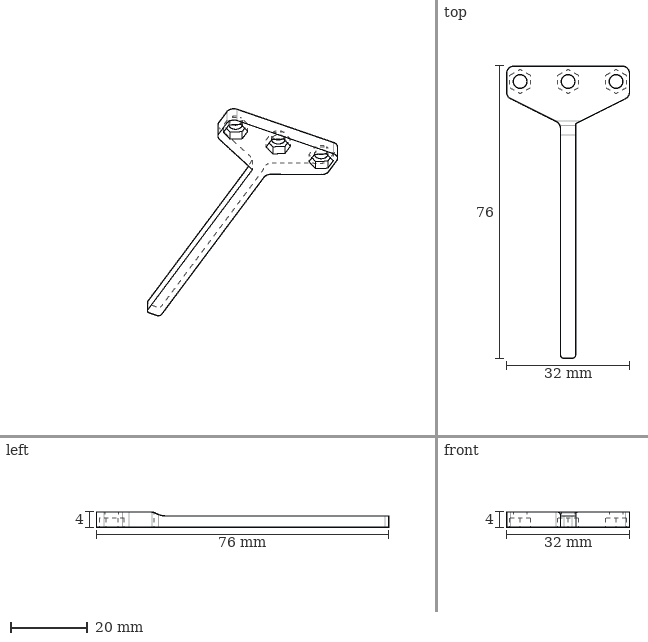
import cadquery as cq
import math

total_length = 76.0
plate_width = 32.0
plate_thickness = 4.0
arm_width = 4.0
arm_thickness = 3.05

plate_side_length = 8.0
taper_slope = 0.5
corner_radius = 2.0
arm_tip_radius = 1.0

hole_diameter = 3.5
hole_spacing = 12.5
hole_edge_distance = 4.0
hole_centers = [(i * hole_spacing, -hole_edge_distance) for i in (-1, 0, 1)]

nut_width_across_flats = 5.5
nut_pocket_depth = 2.5

step_start = 14.3
step_crest_radius = 2.3
step_root_radius = 5.0

half_plate = plate_width / 2
half_arm = arm_width / 2
arm_root_y = -(plate_side_length + taper_slope * (half_plate - half_arm))


def make_body():
    """Full-thickness plate and arm, with rounded vertical edges."""
    outline = [
        (-half_plate, 0),
        (half_plate, 0),
        (half_plate, -plate_side_length),
        (half_arm, arm_root_y),
        (half_arm, -total_length),
        (-half_arm, -total_length),
        (-half_arm, arm_root_y),
        (-half_plate, -plate_side_length),
    ]
    body = cq.Workplane("XY").polyline(outline).close().extrude(plate_thickness)
    rounded_corners = [
        (-half_plate, 0, corner_radius),
        (half_plate, 0, corner_radius),
        (-half_plate, -plate_side_length, corner_radius),
        (half_plate, -plate_side_length, corner_radius),
        (-half_arm, arm_root_y, corner_radius),
        (-half_arm, -total_length, arm_tip_radius),
        (half_arm, -total_length, arm_tip_radius),
    ]
    for x, y, radius in rounded_corners:
        corner = cq.selectors.NearestToPointSelector((x, y, plate_thickness / 2))
        body = body.edges("|Z").edges(corner).fillet(radius)
    return body


def make_step_cutter():
    """Material above the arm, bounded by a convex and a concave tangent arc."""
    drop = plate_thickness - arm_thickness
    sweep = math.acos(1 - drop / (step_crest_radius + step_root_radius))
    step_end = step_start + (step_crest_radius + step_root_radius) * math.sin(sweep)

    def crest_point(angle):
        return (
            -step_start - step_crest_radius * math.sin(angle),
            plate_thickness - step_crest_radius * (1 - math.cos(angle)),
        )

    def root_point(angle):
        return (
            -step_end + step_root_radius * math.sin(angle),
            arm_thickness + step_root_radius * (1 - math.cos(angle)),
        )

    return (
        cq.Workplane("YZ")
        .moveTo(*crest_point(0))
        .threePointArc(crest_point(sweep / 2), crest_point(sweep))
        .threePointArc(root_point(sweep / 2), root_point(0))
        .lineTo(-total_length, arm_thickness)
        .lineTo(-total_length, plate_thickness)
        .close()
        .extrude(half_plate, both=True)
    )


def make_holes():
    """A row of three through holes along the plate's back edge."""
    return cq.Workplane("XY").pushPoints(hole_centers).circle(hole_diameter / 2).extrude(plate_thickness)


def make_nut_pockets():
    """Hexagonal pockets with corners pointing along Y, open at the bottom face."""
    corner_distance = nut_width_across_flats / math.sqrt(3)
    corner_angles = [math.radians(30 + 60 * i) for i in range(6)]
    pockets = cq.Workplane("XY")
    for x, y in hole_centers:
        corners = [
            (x + corner_distance * math.cos(angle), y + corner_distance * math.sin(angle))
            for angle in corner_angles
        ]
        pockets = pockets.polyline(corners).close()
    return pockets.extrude(nut_pocket_depth)


result = make_body().cut(make_step_cutter()).cut(make_holes()).cut(make_nut_pockets())